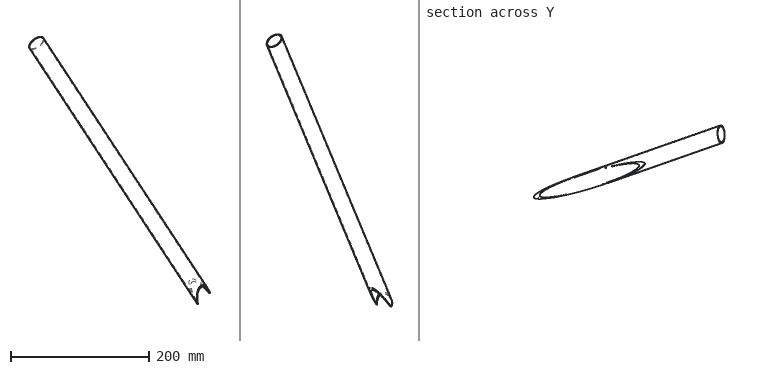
import cadquery as cq

outer_diameter = 25.0
outer_radius = outer_diameter / 2
wall = 1.4
axis = cq.Vector(100, 14.1, -53.8).normalized()

start_cut = (0, cq.Vector(-1, -0.065, 0.25))
lower_end_cut = (462.5, cq.Vector(-0.23, 0.34, -0.91))
upper_end_cut = (457.0, cq.Vector(0.9, 0.17, 0.4))
tip_cut = (457.5, cq.Vector(1, 0.05, -0.1))

start_point = cq.Vector(3.2, 12.5, 221.0)
overrun = 40.5
cutter_size = 242.2


def make_tube():
    blank_length = lower_end_cut[0] + 2 * overrun
    section_plane = cq.Plane(origin=start_point - axis * overrun, normal=axis)
    section = cq.Workplane(section_plane).circle(outer_radius).circle(outer_radius - wall)
    return section.extrude(blank_length)


def half_space(distance, normal):
    """Block lying outside the plane that crosses the tube axis at the given distance."""
    cut_plane = cq.Plane(origin=start_point + axis * distance, normal=normal)
    return cq.Workplane(cut_plane).rect(cutter_size, cutter_size).extrude(cutter_size)


result = make_tube()
for distance, normal in (start_cut, lower_end_cut, upper_end_cut, tip_cut):
    result = result.cut(half_space(distance, normal))